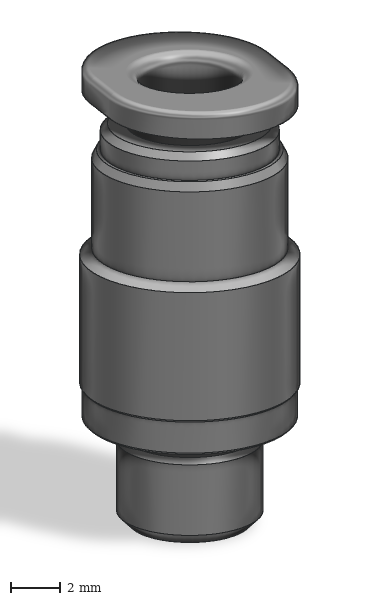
import cadquery as cq

total_height = 19.55
flange_bottom = 18.45
collar_top = 17.32
sleeve_top = 16.19
sleeve_bottom = 11.9
body_bottom = 6.05
base_bottom = 4.5
undercut_bottom = 3.8

neck_radius = 2.62
collar_radius = 3.65
sleeve_radius = 4.0
body_radius = 4.5
base_radius = 4.4
undercut_radius = 2.75
stud_radius = 3.0

neck_fillet = 0.08
collar_chamfer = 0.3
sleeve_chamfer_width = 0.2
sleeve_chamfer_height = 0.37
body_chamfer_height = 0.3
base_chamfer = 0.1
stud_tip_chamfer = 0.49

flange_length = 10.0
flange_width = 8.02
flange_round = 0.3

bore_radius = 2.1
bore_mouth_round = 0.5
bore_bottom = sleeve_bottom


def make_body():
    """Revolve the stepped half-profile, from stud tip to neck, about Z."""
    body_bevel = body_radius - base_radius
    undercut_step = stud_radius - undercut_radius
    sleeve_top_radius = sleeve_radius - sleeve_chamfer_width
    profile = (
        cq.Workplane("XZ")
        .moveTo(0, 0)
        .lineTo(stud_radius - stud_tip_chamfer, 0)
        .lineTo(stud_radius, stud_tip_chamfer)
        .lineTo(stud_radius, undercut_bottom - undercut_step)
        .lineTo(undercut_radius, undercut_bottom)
        .lineTo(undercut_radius, base_bottom)
        .lineTo(base_radius - base_chamfer, base_bottom)
        .lineTo(base_radius, base_bottom + base_chamfer)
        .lineTo(base_radius, body_bottom - body_bevel)
        .lineTo(body_radius, body_bottom)
        .lineTo(body_radius, sleeve_bottom - body_chamfer_height)
        .lineTo(sleeve_radius, sleeve_bottom)
        .lineTo(sleeve_radius, sleeve_top - sleeve_chamfer_height)
        .lineTo(sleeve_top_radius, sleeve_top)
        .lineTo(collar_radius, sleeve_top)
        .lineTo(collar_radius, collar_top - collar_chamfer)
        .lineTo(collar_radius - collar_chamfer, collar_top)
        .lineTo(neck_radius, collar_top)
        .lineTo(neck_radius, flange_bottom - neck_fillet)
        .radiusArc((neck_radius + neck_fillet, flange_bottom), neck_fillet)
        .lineTo(0, flange_bottom)
        .close()
    )
    return profile.revolve(360, (0, 0, 0), (0, 1, 0))


def make_flange():
    """Oblong flange with its upper rim rounded."""
    return (
        cq.Workplane("XY", origin=(0, 0, flange_bottom))
        .slot2D(flange_length, flange_width)
        .extrude(total_height - flange_bottom)
        .faces(">Z")
        .edges()
        .fillet(flange_round)
    )


def cut_bore(solid):
    """Sink the blind bore from the top and round its mouth."""
    bored = (
        solid.faces(">Z")
        .workplane(origin=(0, 0, total_height))
        .circle(bore_radius)
        .cutBlind(bore_bottom - total_height)
    )
    mouth = cq.selectors.RadiusNthSelector(0)
    return bored.faces(">Z").edges(mouth).fillet(bore_mouth_round)


result = cut_bore(make_body().union(make_flange()))